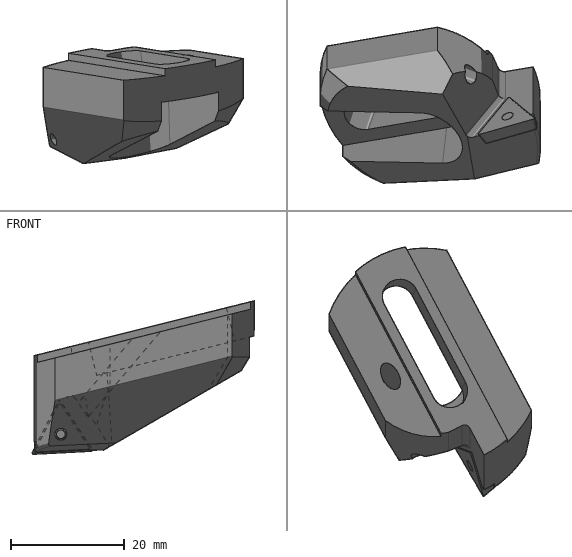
import cadquery as cq
import math


OVERSIZE = 58.5

INNER_EDGE = 30
LEADING_EDGE = 150
LOWER_EDGE = -90

axis_x = 20.05
right_radius = 18.95
front_left_radius = 19.75
back_left_radius = 14.05
front_y = -11.5
back_y = 12.48
notch_x = 6.5
corner_radius = 1.0

top_slope = 14.0
top_height_at_right = 27.0
tongue_half_width = 5.0
tongue_height = 1.3
side_depth = 8.5
side_chamfer_angle = 14.0
section_depth = 35.1

slot_width = 6.3
slot_left_x = 9.85
slot_right_x = 34.1
slot_depth = 6.0
pocket_half_width = 5.6
pocket_left_x = 13.15
pocket_lean = 3.8

heel_angle = 30.0
heel_x = 14.75
heel_z = 2.03
cone_top_z = 17.1
cone_half_angle = 30.0
bottom_inset = 0.1
bottom_edge_radius = 0.45

coolant_diameter = 2.95
coolant_x = 20.05
coolant_y = 7.95
coolant_angle = 49.8

insert_inradius = 3.15
insert_thickness = 2.38
insert_face_y = 0.27
insert_tilt = 3.0
insert_clearance = 7.0
nose_radius = 0.27
tip_relief_length = 2.3
tip_relief_width = 1.55

chip_wall_gap = 1.6

pin_diameter = 2.05
pin_x = 5.05
pin_z = 3.55
pin_end_y = -7.8
pin_chamfer = 0.27

slope = math.radians(top_slope)
along_slope = (math.cos(slope), 0, math.sin(slope))
above_slope = (-math.sin(slope), 0, math.cos(slope))
right_x = axis_x + right_radius
top_origin = (right_x, 0, top_height_at_right)
flank_angle = math.radians(insert_clearance)
nose_distance = 2 * (insert_inradius - nose_radius)
nose_angle = math.radians(INNER_EDGE + insert_tilt)
insert_x = nose_distance * math.cos(nose_angle) + nose_radius
insert_z = nose_distance * math.sin(nose_angle) + nose_radius
insert_center = cq.Vector(insert_x, insert_face_y, insert_z)


def top_z(x):
    """Height of the tongue's top face at a given X."""
    return top_height_at_right - (right_x - x) * math.tan(slope)


def arc_x(radius, y):
    """Distance in X from the outline axis to an arc at a given Y."""
    return math.sqrt(radius**2 - y**2)


def direction(degrees):
    """Unit vector in the XZ plane at an angle from +X towards +Z."""
    angle = math.radians(degrees)
    return cq.Vector(math.cos(angle), 0, math.sin(angle))


def plan_prism():
    """Outline seen along Z, with the notch that clears the cutting tip."""
    notch_top_y = math.sqrt(back_left_radius**2 - (axis_x - notch_x) ** 2)
    back_mid_y = (back_y + notch_top_y) / 2
    front_mid_y = front_y / 2
    bend = corner_radius * (1 - math.sqrt(0.5))
    return (
        cq.Workplane("XY")
        .workplane(offset=-OVERSIZE)
        .moveTo(axis_x + arc_x(right_radius, front_y), front_y)
        .threePointArc((right_x, 0), (axis_x + arc_x(right_radius, back_y), back_y))
        .lineTo(axis_x - arc_x(back_left_radius, back_y), back_y)
        .threePointArc(
            (axis_x - arc_x(back_left_radius, back_mid_y), back_mid_y),
            (notch_x, notch_top_y),
        )
        .lineTo(notch_x, corner_radius)
        .threePointArc((notch_x - bend, bend), (notch_x - corner_radius, 0))
        .lineTo(axis_x - front_left_radius, 0)
        .threePointArc(
            (axis_x - arc_x(front_left_radius, front_mid_y), front_mid_y),
            (axis_x - arc_x(front_left_radius, front_y), front_y),
        )
        .close()
        .extrude(2 * OVERSIZE)
    )


def section_prism():
    """Cross-section with the raised tongue and chamfered sides, run along the top slope."""
    chamfer_width = (section_depth - side_depth) * math.tan(math.radians(side_chamfer_angle))
    points = [
        (-tongue_half_width, 0),
        (tongue_half_width, 0),
        (tongue_half_width, -tongue_height),
        (back_y, -tongue_height),
        (back_y, -side_depth),
        (back_y - chamfer_width, -section_depth),
        (front_y + chamfer_width, -section_depth),
        (front_y, -side_depth),
        (front_y, -tongue_height),
        (-tongue_half_width, -tongue_height),
    ]
    plane = cq.Plane(top_origin, (0, 1, 0), along_slope)
    return cq.Workplane(plane).polyline(points).close().extrude(OVERSIZE, both=True)


def heel_cutter():
    """Everything below the steep underside rising towards +X."""
    plane = cq.Plane((heel_x, 0, heel_z), (0, 1, 0), -direction(heel_angle + 90))
    return cq.Workplane(plane).rect(2 * OVERSIZE, 2 * OVERSIZE).extrude(OVERSIZE)


def bottom_cutter():
    """Everything below the tip-side underside, parallel to the insert's lower flank."""
    down = direction(LOWER_EDGE + insert_tilt)
    normal = down * math.cos(flank_angle) - cq.Vector(0, math.sin(flank_angle), 0)
    plane = cq.Plane(insert_center + down * (insert_inradius - bottom_inset), (1, 0, 0), normal)
    return cq.Workplane(plane).rect(2 * OVERSIZE, 2 * OVERSIZE).extrude(OVERSIZE)


def cone_cutter():
    """Ring outside a cone that narrows the right end towards the bottom."""
    bottom_radius = right_radius - cone_top_z * math.tan(math.radians(cone_half_angle))
    return (
        cq.Workplane("YZ", origin=(axis_x, 0, 0))
        .polyline([(right_radius, cone_top_z), (OVERSIZE, cone_top_z), (OVERSIZE, 0), (bottom_radius, 0)])
        .close()
        .revolve(180, (0, 0.4), (0, 0))
    )


def chip_pocket_cutter():
    """Clears the chip space behind the insert face, with a rounded foot along the leaning wall."""
    outward = direction(INNER_EDGE + insert_tilt)
    center = cq.Vector(insert_x, 0, insert_z)
    origin = center + outward * (insert_inradius + chip_wall_gap)
    plane = cq.Plane(origin, (0, 1, 0), direction(INNER_EDGE + insert_tilt + 90))
    reach = 2 * back_y
    lean = reach * math.tan(flank_angle)
    return (
        cq.Workplane(plane)
        .polyline([(0, 0), (reach, -lean), (reach, OVERSIZE), (0, OVERSIZE)])
        .close()
        .extrude(OVERSIZE, both=True)
        .edges(cq.selectors.NearestToPointSelector(origin.toTuple()))
        .fillet(corner_radius)
    )


def slot_cutter():
    """Round-ended slot square to the top face."""
    length = (slot_right_x - slot_left_x) / math.cos(slope)
    mid_x = (slot_left_x + slot_right_x) / 2
    plane = cq.Plane((mid_x, 0, top_z(mid_x)), along_slope, above_slope)
    return cq.Workplane(plane).slot2D(length, slot_width).extrude(-slot_depth)


def screw_pocket_cutter():
    """Round-ended pocket below the slot floor, open to the right and downwards."""
    floor = cq.Vector(top_origin) - cq.Vector(above_slope) * slot_depth
    left_z = top_z(pocket_left_x) - slot_depth / math.cos(slope)
    lean_axis = direction(pocket_lean + 90)
    plane = cq.Plane((pocket_left_x, 0, left_z), direction(pocket_lean), lean_axis)
    pocket = (
        cq.Workplane(plane)
        .moveTo(pocket_half_width, pocket_half_width)
        .threePointArc((0, 0), (pocket_half_width, -pocket_half_width))
        .lineTo(OVERSIZE, -pocket_half_width)
        .lineTo(OVERSIZE, pocket_half_width)
        .close()
        .extrude(OVERSIZE, both=True)
    )
    below_floor = (
        cq.Workplane(cq.Plane(floor.toTuple(), along_slope, above_slope))
        .rect(4 * OVERSIZE, 4 * OVERSIZE)
        .extrude(-2 * OVERSIZE)
    )
    return pocket.intersect(below_floor)


def coolant_cutter():
    """Hole running down from the back flank of the top face to the chip pocket."""
    start_z = top_z(coolant_x) - tongue_height / math.cos(slope)
    plane = cq.Plane((coolant_x, coolant_y, start_z), (0, 1, 0), direction(coolant_angle))
    return cq.Workplane(plane).circle(coolant_diameter / 2).extrude(OVERSIZE, both=True)


def tip_relief_cutter():
    """Clears the housing in front of the exposed lower end of the insert's leading edge."""
    half_edge = insert_inradius * math.sqrt(3)
    outward = direction(LEADING_EDGE + insert_tilt)
    plane = cq.Plane(insert_center + outward * insert_inradius, outward, (0, -1, 0))
    return (
        cq.Workplane(plane)
        .center(0, half_edge - tip_relief_length / 2)
        .rect(2 * tip_relief_width, tip_relief_length)
        .extrude(insert_thickness)
    )


def make_insert_blank():
    """Rounded triangle that tapers away from its cutting face, before its pin hole."""
    half_edge = insert_inradius * math.sqrt(3)
    corners = [(0, 2 * insert_inradius), (-half_edge, -insert_inradius), (half_edge, -insert_inradius)]
    plane = cq.Plane(insert_center, direction(insert_tilt), (0, -1, 0))
    return (
        cq.Workplane(plane)
        .polyline(corners)
        .close()
        .extrude(insert_thickness, taper=insert_clearance)
        .edges("not #Y")
        .fillet(nose_radius)
    )


def pin_plane():
    """Plane of the insert face at the pin axis, facing -Y."""
    return cq.Plane((pin_x, insert_face_y, pin_z), (1, 0, 0), (0, -1, 0))


def make_pin():
    """Pin along Y, flush with the insert face and short of the housing's chamfered side."""
    return (
        cq.Workplane(pin_plane())
        .circle(pin_diameter / 2)
        .extrude(insert_face_y - pin_end_y)
        .faces("<Y")
        .chamfer(pin_chamfer)
    )


def pin_hole_cutter():
    return cq.Workplane(pin_plane()).circle(pin_diameter / 2).extrude(OVERSIZE)


def make_housing(insert_blank):
    """Slotted block with a seat that matches the insert and a through hole for the pin."""
    block = plan_prism().intersect(section_prism()).cut(heel_cutter()).cut(bottom_cutter())
    lower_edge_point = (axis_x - arc_x(front_left_radius, front_y / 2), front_y / 2, 0)
    block = block.edges(cq.selectors.NearestToPointSelector(lower_edge_point)).fillet(bottom_edge_radius)
    return (
        block.cut(cone_cutter())
        .cut(chip_pocket_cutter())
        .cut(slot_cutter())
        .cut(screw_pocket_cutter())
        .cut(coolant_cutter())
        .cut(tip_relief_cutter())
        .cut(insert_blank)
        .cut(pin_hole_cutter())
    )


insert_blank = make_insert_blank()
pin = make_pin()
insert = insert_blank.cut(pin)
housing = make_housing(insert_blank)

result = cq.Compound.makeCompound([housing.solids().val(), insert.solids().val(), pin.solids().val()])